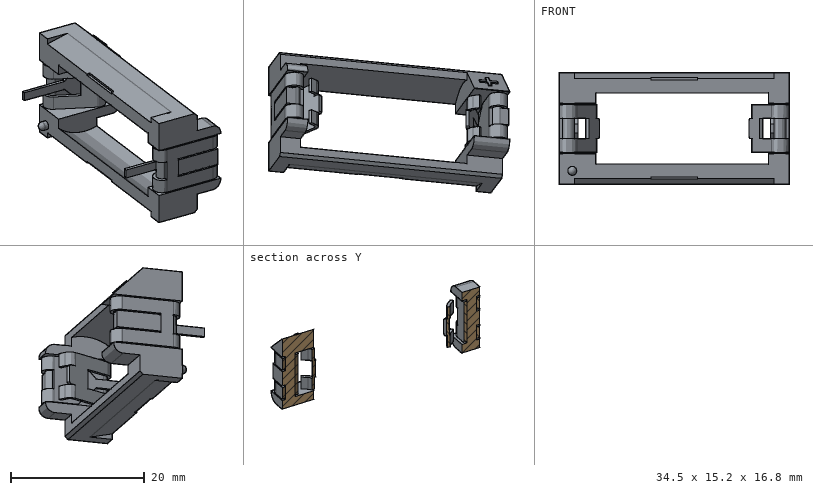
import cadquery as cq
import math


length = 34.55
height = 16.75
rail_depth = 6.75
block_depth = 10.88
inner_gap = 7.55
left_block_length = 5.53
right_block_length = 3.15
flat_depth = 6.25
slope_edge = 0.1
ear_thickness = 1.6
ear_radius = 1.5
bore_radius = 7.05
bore_y = 4.63
rib_height = 2.6

relief_margin = 2.3
relief_run = 3.52
relief_drop = 0.85
notch_length = 7.0
notch_run = 0.4
notch_drop = 1.07

peg_diameter = 1.35
peg_shank = 0.62
peg_inset = 1.97
peg_z = -6.35
plus_span = 2.83
plus_upright_width = 0.52
plus_crossbar_width = 0.62
plus_height = 0.17
plus_y = 8.88

sheet = 0.52
post_width = 1.8
contact_height = 7.2
window_height = 3.0
slot_root_y = 3.42
lean_angle = 25.0
window_run = 4.15
arm_run = 6.75
tab_run = 8.0
tab_chamfer = 0.25
curl_radius = 1.28
curl_angle = 80.0
curl_tip = 1.1
pin_width = 1.35
pin_length = 4.35
shoulder_y = 2.7

left_x = -length / 2
top_z = height / 2
inner_z = inner_gap / 2
slope_rise = top_z - inner_z - slope_edge
slope_run = block_depth - flat_depth
chamfer_drop = (rail_depth - flat_depth) * slope_rise / slope_run
bore_length = length - left_block_length - right_block_length
post_radius = post_width / 2
post_length = block_depth - 2 * sheet
post_end_y = block_depth - sheet
wrap_radius = post_radius + sheet
post_x = left_x + wrap_radius
far_wrap_y = block_depth - wrap_radius


def along_x(points, start, run):
    """Prism along X from a closed outline of (Y, Z) points."""
    return cq.Workplane("YZ").workplane(offset=start).polyline(points).close().extrude(run)


def block(x_range, y_range, z_height):
    """Box centred on Z = 0."""
    x_size = x_range[1] - x_range[0]
    y_size = y_range[1] - y_range[0]
    return (
        cq.Workplane("XY")
        .box(x_size, y_size, z_height, centered=(False, False, True))
        .translate((x_range[0], y_range[0], 0))
    )


def upper_rail():
    """Full-length rail with its outer far corner chamfered."""
    outline = [
        (0, inner_z),
        (rail_depth, inner_z),
        (rail_depth, top_z - chamfer_drop),
        (flat_depth, top_z),
        (0, top_z),
    ]
    return along_x(outline, left_x, length)


def sloped_ear():
    """Left end block whose whole far side slopes down to a thin edge."""
    outline = [
        (0, inner_z),
        (block_depth, inner_z),
        (block_depth, inner_z + slope_edge),
        (flat_depth, top_z),
        (0, top_z),
    ]
    return along_x(outline, left_x, left_block_length)


def rounded_ear(start, run):
    """Thin lug reaching back from the rail, its far outer edge rounded."""
    ear = cq.Workplane("XY").box(run, block_depth, ear_thickness, centered=False)
    ear = ear.edges(">Y and >Z").fillet(ear_radius)
    return ear.translate((start, 0, inner_z))


def upper_relief():
    """Sloping relief open to the mounting face, with a short notch at its middle."""
    wedge = [(0, top_z - relief_drop), (relief_run, top_z), (0, top_z)]
    relief = along_x(wedge, left_x + relief_margin, length - 2 * relief_margin)
    step = [(0, top_z - notch_drop), (notch_run, top_z - notch_drop), (notch_run, top_z), (0, top_z)]
    return relief.union(along_x(step, -notch_length / 2, notch_length))


def flipped(body):
    """Copy of an upper feature for the lower rail."""
    return body.mirror("XY")


def left_post():
    """Round-edged post that joins the rails, with a rib that sits in the slot of the contact."""
    bar = (
        cq.Workplane("XY")
        .center(post_x, block_depth / 2)
        .slot2D(post_length, post_width, 90)
        .extrude(inner_z, both=True)
    )
    return bar.union(block((left_x, post_x), (slot_root_y, post_end_y), rib_height))


def peg():
    """Domed locating peg on the mounting face."""
    radius = peg_diameter / 2
    return (
        cq.Workplane("XY")
        .lineTo(radius, 0)
        .lineTo(radius, -peg_shank)
        .radiusArc((0, -peg_shank - radius), radius)
        .close()
        .revolve(360, (0, 0), (0, 1))
        .translate((left_x + peg_inset, 0, peg_z))
    )


def make_housing():
    right_block_x = length / 2 - right_block_length
    right_ear = rounded_ear(right_block_x, right_block_length)
    left_ear = rounded_ear(left_x, left_block_length)
    upper = upper_rail().union(sloped_ear()).union(right_ear)
    lower = flipped(upper_rail().union(left_ear).union(right_ear))
    bore = (
        cq.Workplane("YZ")
        .workplane(offset=left_x + left_block_length)
        .center(bore_y, 0)
        .circle(bore_radius)
        .extrude(bore_length)
    )
    frame = upper.union(lower).cut(bore).cut(upper_relief()).cut(flipped(upper_relief()))
    return frame.union(left_post()).union(left_post().mirror("YZ")).union(peg())


def make_plus_mark():
    """Raised plus sign resting on the sloped ear."""
    plus_z = top_z - (plus_y - flat_depth) * slope_rise / slope_run
    face = cq.Plane(
        origin=(left_x + left_block_length / 2, plus_y, plus_z),
        xDir=(1, 0, 0),
        normal=(0, slope_rise, slope_run),
    )
    crossbar = cq.Workplane(face).rect(plus_span, plus_crossbar_width).extrude(plus_height)
    upright = cq.Workplane(face).rect(plus_upright_width, plus_span).extrude(plus_height)
    return crossbar.union(upright)


def in_bands(profile):
    """Extrude a flat profile above and below the window, leaving the window open."""
    band = profile.extrude((contact_height - window_height) / 2)
    upper = band.translate((0, 0, window_height / 2))
    return upper.union(flipped(upper))


def polar(center, radius, angle):
    turn = math.radians(angle)
    return (center[0] + radius * math.cos(turn), center[1] + radius * math.sin(turn))


def bend(plane, center, outer_radius, start, end):
    """Profile of a bend in the sheet between two angles."""
    inner_radius = outer_radius - sheet
    middle = (start + end) / 2
    return (
        plane.moveTo(*polar(center, outer_radius, start))
        .threePointArc(polar(center, outer_radius, middle), polar(center, outer_radius, end))
        .lineTo(*polar(center, inner_radius, end))
        .threePointArc(polar(center, inner_radius, middle), polar(center, inner_radius, start))
        .close()
    )


def outer_wall():
    """Flat wall outside the post, slotted for the rib of the housing."""
    wall_x = (left_x, left_x + sheet)
    wall = block(wall_x, (wrap_radius, far_wrap_y), contact_height)
    return wall.cut(block(wall_x, (slot_root_y, far_wrap_y), window_height))


def spring_arm():
    """Leaning arm with a window at its root, a straight tab and two curled tips."""
    tangent = polar((post_x, wrap_radius), wrap_radius, -lean_angle)
    lean = math.radians(lean_angle)
    frame = cq.Plane(origin=(*tangent, 0), xDir=(math.sin(lean), math.cos(lean), 0), normal=(0, 0, 1))
    arm_plane = cq.Workplane(frame)
    not_centred = (False, False, True)

    arm = arm_plane.box(arm_run, sheet, contact_height, centered=not_centred)
    window = arm_plane.box(window_run, sheet, window_height, centered=not_centred)
    tab = arm_plane.box(tab_run, sheet, window_height, centered=not_centred)
    tab = tab.faces(cq.DirectionMinMaxSelector(frame.xDir)).edges("<Z or >Z").chamfer(tab_chamfer)

    curl_center = (arm_run, curl_radius)
    curl = in_bands(bend(arm_plane, curl_center, curl_radius, -90, curl_angle - 90))
    tip_start = polar(curl_center, curl_radius, curl_angle - 90)
    tip_inner = polar(curl_center, curl_radius - sheet, curl_angle - 90)
    tip_shift = polar((0, 0), curl_tip, curl_angle)
    tip = in_bands(
        arm_plane.polyline(
            [
                tip_start,
                (tip_start[0] + tip_shift[0], tip_start[1] + tip_shift[1]),
                (tip_inner[0] + tip_shift[0], tip_inner[1] + tip_shift[1]),
                tip_inner,
            ]
        ).close()
    )
    return arm.union(tab).cut(window).union(curl).union(tip)


def pin_strip():
    """Strip along the inner side of the post that narrows to the solder pin."""
    strip_half = contact_height / 2
    pin_half = pin_width / 2
    shoulder_end_y = shoulder_y + strip_half - pin_half
    outline = [
        (-pin_length, -pin_half),
        (shoulder_y, -pin_half),
        (shoulder_end_y, -strip_half),
        (far_wrap_y, -strip_half),
        (far_wrap_y, strip_half),
        (shoulder_end_y, strip_half),
        (shoulder_y, pin_half),
        (-pin_length, pin_half),
    ]
    return along_x(outline, post_x + post_radius, sheet)


def make_contact(mirrored):
    """Contact for the left post, or its mirror image for the right post."""
    flat = cq.Workplane("XY")
    near_wrap = in_bands(bend(flat, (post_x, wrap_radius), wrap_radius, 180, 360 - lean_angle))
    far_wrap = in_bands(bend(flat, (post_x, far_wrap_y), wrap_radius, 0, 180))
    contact = outer_wall().union(near_wrap).union(spring_arm()).union(far_wrap).union(pin_strip())
    return contact.mirror("YZ") if mirrored else contact


housing = make_housing()
plus_mark = make_plus_mark()
contacts = [make_contact(mirrored) for mirrored in (False, True)]

result = cq.Compound.makeCompound(
    [housing.val(), plus_mark.val(), *[contact.val() for contact in contacts]]
)